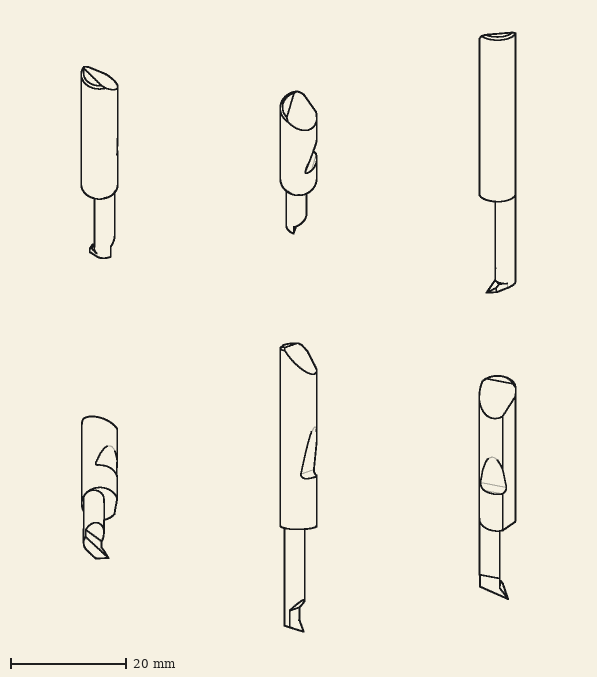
import cadquery as cq

total_length = 50.8
shank_radius = 3.175
neck_length = 19.05
neck_radius = 1.8
neck_x = shank_radius - neck_radius

top_chamfer = 0.4
bevel_back_z = 46.2
flat_distance = 2.8
flat_normal_angle = 150
notch_low_z = 27.95
notch_high_z = 36.85
notch_depth = 1.4
notch_corner_radius = 0.8

neck_bevel_low_z = 4.6
tip_x = -1.95
tooth_top_z = 2.35
end_rise = 1.75
end_clearance = 0.3
flank_shift = 0.3
second_relief_shift = 1.4


def side_prism(points):
    """Prism along X through the whole part, from (y, z) outline points."""
    return cq.Workplane("YZ").polyline(points).close().extrude(shank_radius * 2, both=True)


def make_shank():
    shank = (
        cq.Workplane("XY").workplane(offset=neck_length)
        .circle(shank_radius).extrude(total_length - neck_length)
        .faces(">Z").chamfer(top_chamfer)
    )
    outside = total_length + shank_radius
    bevel = side_prism([
        (shank_radius, bevel_back_z),
        (shank_radius, outside),
        (shank_radius - (outside - bevel_back_z), outside),
    ])
    flat = (
        cq.Workplane("XY").box(shank_radius, shank_radius * 2, total_length, centered=(False, True, False))
        .translate((flat_distance, 0, 0))
        .rotate((0, 0, 0), (0, 0, 1), flat_normal_angle)
    )
    floor_y = shank_radius - notch_depth
    notch = side_prism([
        (shank_radius, notch_low_z),
        (floor_y, notch_low_z),
        (shank_radius, notch_high_z),
    ]).edges("|X").edges("<Y").fillet(notch_corner_radius)
    return shank.cut(bevel).cut(flat).cut(notch)


def make_neck():
    neck = cq.Workplane("XY").center(neck_x, 0).circle(neck_radius).extrude(neck_length)
    relief = side_prism([
        (0, -neck_radius),
        (0, neck_bevel_low_z),
        (neck_radius * 2, neck_bevel_low_z + neck_radius * 2),
        (neck_radius * 2, -neck_radius),
    ])
    return neck.cut(relief)


def make_tooth():
    """Prism leaning back from the rake face, with a vertical second relief below the tip's flank."""
    neck_left = neck_x - neck_radius

    def outline(shift):
        return [
            (tip_x + shift, 0),
            (neck_left + shift, tooth_top_z),
            (neck_x, tooth_top_z),
            (neck_x, 0),
        ]

    blank = (
        cq.Workplane("XZ").polyline(outline(0)).close()
        .workplane(offset=neck_radius).polyline(outline(flank_shift)).close()
        .loft(ruled=True)
    )
    second_relief = (
        cq.Workplane("XY")
        .polyline([(tip_x, 0), (tip_x + second_relief_shift, -neck_radius), (tip_x, -neck_radius)]).close()
        .extrude(tooth_top_z)
    )
    return blank.cut(second_relief)


def make_end_cutter():
    """Space below the inclined end face, which climbs toward +X and -Y."""
    slope = end_rise / (shank_radius - tip_x)
    margin = shank_radius * 2

    def outline(rise):
        return [
            (tip_x - margin, rise - margin * slope),
            (shank_radius + margin, rise + end_rise + margin * slope),
            (shank_radius + margin, -margin),
            (tip_x - margin, -margin),
        ]

    return (
        cq.Workplane("XZ", origin=(0, neck_radius, 0)).polyline(outline(-end_clearance)).close()
        .workplane(offset=3 * neck_radius).polyline(outline(end_clearance * 2)).close()
        .loft(ruled=True)
    )


result = make_shank().union(make_neck()).union(make_tooth()).cut(make_end_cutter())